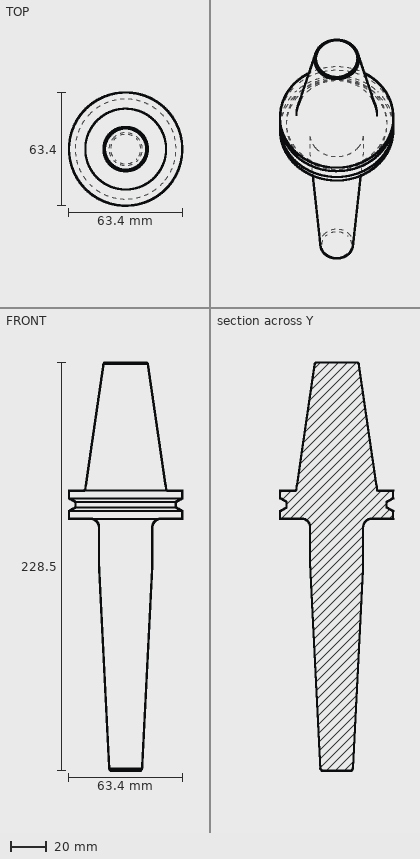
import cadquery as cq
import math

total_length = 228.5

gauge_radius = 44.5 / 2
taper_length = 68.3
taper_slope = 7 / 24 / 2
taper_chamfer = 1.0

collar_radius = 22.5
collar_step_height = 1.1
collar_fillet = 1.0

flange_radius = 31.7
flange_top_depth = 71.7
flange_thickness = 15.8
upper_rim_height = 4.3
groove_floor_radius = 28.0
groove_side_height = 2.0
groove_floor_width = 3.0

neck_radius = 30.0 / 2
neck_fillet = 4.8
nose_length = 114.7
nose_tip_radius = 18.5 / 2
tip_chamfer_radial = 1.0
tip_chamfer_height = 1.4

gauge_z = total_length - taper_length
flange_top_z = total_length - flange_top_depth
flange_bottom_z = flange_top_z - flange_thickness
groove_top_z = flange_top_z - upper_rim_height
groove_floor_top_z = groove_top_z - groove_side_height
groove_floor_bottom_z = groove_floor_top_z - groove_floor_width
groove_bottom_z = groove_floor_bottom_z - groove_side_height
taper_chamfer_z = total_length - taper_chamfer
taper_end_radius = gauge_radius - (taper_chamfer_z - gauge_z) * taper_slope


def concave_fillet(outline, corner_radius, corner_z, size, direction_z):
    """Add a quarter arc joining a shaft to a flange face; direction_z points away from the flange."""
    centre_r = corner_radius + size
    centre_z = corner_z + direction_z * size
    reach = size * math.sqrt(0.5)
    middle = (centre_r - reach, centre_z - direction_z * reach)
    ends = [(corner_radius, centre_z), (centre_r, corner_z)]
    if direction_z < 0:
        ends.reverse()
    return outline.lineTo(*ends[0]).threePointArc(middle, ends[1])


profile = (
    cq.Workplane("XZ")
    .moveTo(0, total_length)
    .lineTo(taper_end_radius - taper_chamfer, total_length)
    .lineTo(taper_end_radius, taper_chamfer_z)
    .lineTo(gauge_radius, gauge_z)
    .lineTo(collar_radius, gauge_z - collar_step_height)
)
profile = concave_fillet(profile, collar_radius, flange_top_z, collar_fillet, 1)
profile = (
    profile
    .lineTo(flange_radius, flange_top_z)
    .lineTo(flange_radius, groove_top_z)
    .lineTo(groove_floor_radius, groove_floor_top_z)
    .lineTo(groove_floor_radius, groove_floor_bottom_z)
    .lineTo(flange_radius, groove_bottom_z)
    .lineTo(flange_radius, flange_bottom_z)
)
profile = concave_fillet(profile, neck_radius, flange_bottom_z, neck_fillet, -1)
profile = (
    profile
    .lineTo(neck_radius, nose_length)
    .lineTo(nose_tip_radius, tip_chamfer_height)
    .lineTo(nose_tip_radius - tip_chamfer_radial, 0)
    .lineTo(0, 0)
    .close()
)

result = profile.revolve(360, (0, 0, 0), (0, 1, 0))